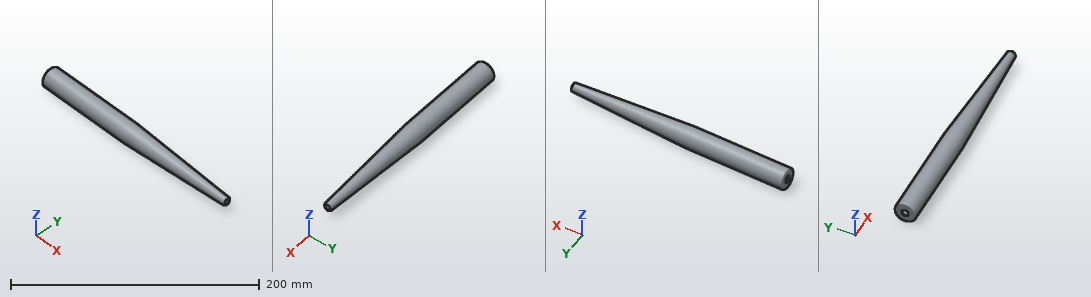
import cadquery as cq

overall_length = 203.2
shank_diameter = 19.05
taper_length = 110.2
tip_diameter = 7.9

shank_edge_radius = 1.0
tip_edge_radius = 0.55

bore_diameter = 4.76
entry_diameter = 5.5
entry_depth = 20.0
entry_chamfer = 0.4


def tapered_body():
    """Cylindrical shank with a rounded end edge, then a cone with a rounded tip edge."""
    shank_radius = shank_diameter / 2
    tip_radius = tip_diameter / 2
    shank_length = overall_length - taper_length
    outline = (
        cq.Workplane("XY")
        .lineTo(0, shank_radius)
        .lineTo(shank_length, shank_radius)
        .lineTo(overall_length, tip_radius)
        .lineTo(overall_length, 0)
        .close()
    )
    body = outline.revolve(axisStart=(0, 0, 0), axisEnd=(1, 0, 0))
    body = body.faces("<X").edges().fillet(shank_edge_radius)
    return body.faces(">X").edges().fillet(tip_edge_radius)


def cut_axial_hole(body):
    """Cut the through bore and its wider entry, then chamfer the mouth."""
    shank_face = cq.Workplane("YZ")
    bore = shank_face.circle(bore_diameter / 2).extrude(overall_length)
    entry = shank_face.circle(entry_diameter / 2).extrude(entry_depth)
    drilled = body.cut(bore).cut(entry)
    mouth = cq.selectors.RadiusNthSelector(0)
    return drilled.faces("<X").edges(mouth).chamfer(entry_chamfer)


result = cut_axial_hole(tapered_body())